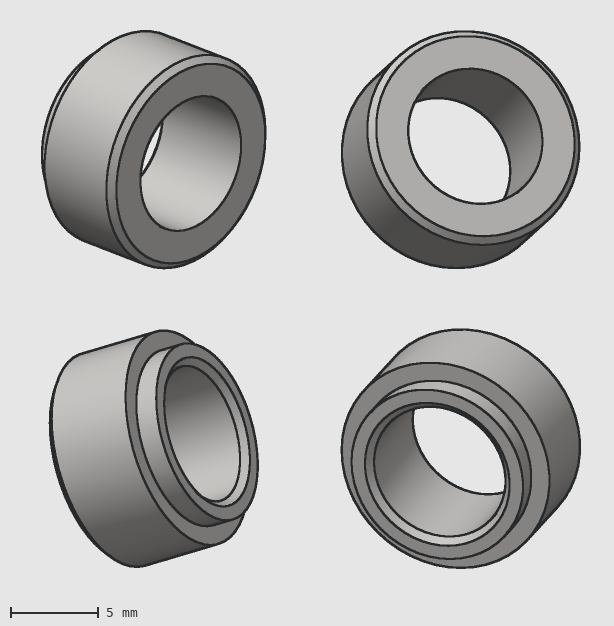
import cadquery as cq

total_length = 6.84
body_diameter = 12.65
spigot_diameter = 10.44
spigot_length = 1.37
bore_diameter = 8.0
chamfer = 0.4

body_length = total_length - spigot_length


def cylinder_along_x(diameter, start, length):
    return cq.Workplane("YZ", origin=(start, 0, 0)).circle(diameter / 2).extrude(length)


body = cylinder_along_x(body_diameter, spigot_length, body_length)
body = body.faces(">X").edges().chamfer(chamfer)

spigot = cylinder_along_x(spigot_diameter, 0, spigot_length)

bore = cylinder_along_x(bore_diameter, 0, total_length)
ring = body.union(spigot).cut(bore)

result = ring.faces("<X").edges(cq.selectors.RadiusNthSelector(0)).chamfer(chamfer)